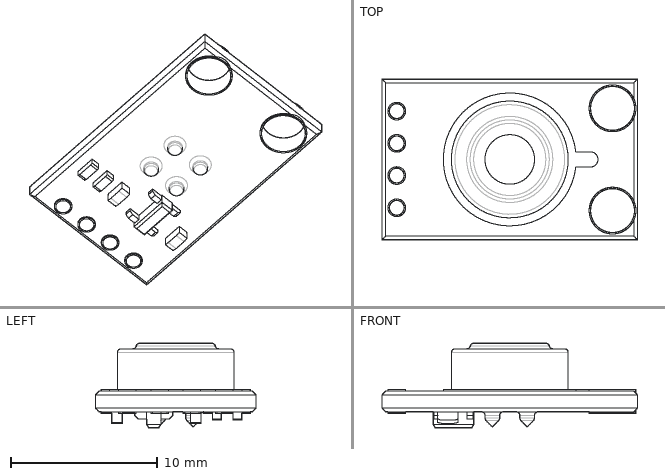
import cadquery as cq
import math

BOARD_LENGTH = 17.5
BOARD_WIDTH = 11.0
BOARD_THICKNESS = 1.44
BOARD_CHAMFER = 0.26

PLATING_PROUD = 0.1
MOUNT_HOLE_DIAMETER = 3.0
MOUNT_SLEEVE_DIAMETER = 3.2
MOUNT_X = 7.04
MOUNT_Y_SPACING = 7.0
HEADER_HOLE_DIAMETER = 1.0
HEADER_SLEEVE_DIAMETER = 1.2
HEADER_X = -7.74
HEADER_PITCH = 2.2
HEADER_COUNT = 4

LEAD_OFFSET = 1.19
JOINT_RADIUS = 0.5
JOINT_FILLET = 0.25
JOINT_BARREL_END = 0.42
JOINT_CONE_ANGLE = math.radians(45)

CHIP_X = -4.24
CHIP_LENGTH = 1.4
CHIP_END_DROP = 0.07
LARGE_CHIP_WIDTH = 0.74
LARGE_CHIP_HEIGHT = 0.79
LARGE_CHIP_SLOPE = 0.3
LARGE_CHIP_YS = (4.02, -1.36)
SMALL_CHIP_WIDTH = 0.61
SMALL_CHIP_HEIGHT = 0.55
SMALL_CHIP_SLOPE = 0.15
SMALL_CHIP_YS = (-2.82, -4.22)

REGULATOR_X = -3.85
REGULATOR_Y = 1.5
REGULATOR_LENGTH = 2.8
REGULATOR_WIDTH = 0.98
REGULATOR_HEIGHT = 1.08
REGULATOR_TAPER_HEIGHT = 0.23
REGULATOR_TAPER_INSET = 0.14
REGULATOR_LEAD_LENGTH = 2.62
REGULATOR_LEAD_WIDTH = 0.42
REGULATOR_LEAD_HEIGHT = 0.49
REGULATOR_LEAD_CHAMFER = 0.25
REGULATOR_LEAD_INSET = 0.07

FLANGE_DIAMETER = 9.1
FLANGE_THICKNESS = 0.1
TAB_WIDTH = 1.05
TAB_REACH = 6.04
CAN_DIAMETER = 8.0
CAN_HEIGHT = 2.89
COLLAR_HEIGHT = 0.38
COLLAR_BASE_DIAMETER = 5.9
CAN_FILLET = 0.25
WINDOW_DIAMETER = 3.4
WINDOW_DEPTH = 0.79


def plated_hole_places():
    """Centre, sleeve diameter and hole diameter of every plated hole."""
    mounts = [
        (MOUNT_X, side * MOUNT_Y_SPACING / 2, MOUNT_SLEEVE_DIAMETER, MOUNT_HOLE_DIAMETER)
        for side in (-1, 1)
    ]
    first_y = -HEADER_PITCH * (HEADER_COUNT - 1) / 2
    headers = [
        (HEADER_X, first_y + i * HEADER_PITCH, HEADER_SLEEVE_DIAMETER, HEADER_HOLE_DIAMETER)
        for i in range(HEADER_COUNT)
    ]
    return mounts + headers


def add_plated_hole(board, x, y, sleeve_diameter, hole_diameter):
    bottom = cq.Workplane("XY", origin=(x, y, -PLATING_PROUD))
    length = BOARD_THICKNESS + 2 * PLATING_PROUD
    sleeve = bottom.circle(sleeve_diameter / 2).extrude(length)
    hole = bottom.circle(hole_diameter / 2).extrude(length)
    return board.union(sleeve).cut(hole)


def make_solder_joint(x, y):
    """Round joint that flares into the board and ends in a rounded-off cone."""
    flare_radius = JOINT_RADIUS + JOINT_FILLET
    diagonal = JOINT_FILLET * math.sqrt(0.5)
    half_angle = JOINT_CONE_ANGLE / 2
    arc_center_radius = JOINT_RADIUS - JOINT_FILLET
    cone_radius = arc_center_radius + JOINT_FILLET * math.cos(JOINT_CONE_ANGLE)
    cone_top = JOINT_BARREL_END + JOINT_FILLET * math.sin(JOINT_CONE_ANGLE)
    tip = cone_top + cone_radius / math.tan(JOINT_CONE_ANGLE)
    return (
        cq.Workplane("XZ")
        .lineTo(flare_radius, 0)
        .threePointArc((flare_radius - diagonal, diagonal - JOINT_FILLET), (JOINT_RADIUS, -JOINT_FILLET))
        .lineTo(JOINT_RADIUS, -JOINT_BARREL_END)
        .threePointArc(
            (
                arc_center_radius + JOINT_FILLET * math.cos(half_angle),
                -JOINT_BARREL_END - JOINT_FILLET * math.sin(half_angle),
            ),
            (cone_radius, -cone_top),
        )
        .lineTo(0, -tip)
        .close()
        .revolve(360, (0, 0, 0), (0, 1, 0))
        .translate((x, y, 0))
    )


def make_chip(y, width, height, slope_length):
    """Block hanging from the board, its lower face sloping up at both ends."""
    half = CHIP_LENGTH / 2
    return (
        cq.Workplane("XZ", origin=(CHIP_X, y, 0))
        .moveTo(-half, 0)
        .lineTo(half, 0)
        .lineTo(half, CHIP_END_DROP - height)
        .lineTo(half - slope_length, -height)
        .lineTo(slope_length - half, -height)
        .lineTo(-half, CHIP_END_DROP - height)
        .close()
        .extrude(width / 2, both=True)
    )


def make_regulator():
    straight_height = REGULATOR_HEIGHT - REGULATOR_TAPER_HEIGHT
    taper_angle = math.degrees(math.atan2(REGULATOR_TAPER_INSET, REGULATOR_TAPER_HEIGHT))
    regulator = (
        cq.Workplane("XY")
        .rect(REGULATOR_LENGTH, REGULATOR_WIDTH)
        .extrude(-straight_height)
        .faces("<Z")
        .workplane()
        .rect(REGULATOR_LENGTH, REGULATOR_WIDTH)
        .extrude(REGULATOR_TAPER_HEIGHT, taper=taper_angle)
    )
    lead_x = (REGULATOR_LENGTH - REGULATOR_LEAD_WIDTH) / 2 - REGULATOR_LEAD_INSET
    for side in (-1, 1):
        lead = (
            cq.Workplane("XY")
            .center(side * lead_x, 0)
            .rect(REGULATOR_LEAD_WIDTH, REGULATOR_LEAD_LENGTH)
            .extrude(-REGULATOR_LEAD_HEIGHT)
            .faces("<Z")
            .edges("|X")
            .chamfer(REGULATOR_LEAD_CHAMFER)
        )
        regulator = regulator.union(lead)
    return regulator.translate((REGULATOR_X, REGULATOR_Y, 0))


def make_board():
    """Circuit board with its plated holes, solder joints and soldered parts."""
    board = (
        cq.Workplane("XY")
        .rect(BOARD_LENGTH, BOARD_WIDTH)
        .extrude(BOARD_THICKNESS)
        .faces("<Z or >Z")
        .edges()
        .chamfer(BOARD_CHAMFER)
    )
    for x, y, sleeve_diameter, hole_diameter in plated_hole_places():
        board = add_plated_hole(board, x, y, sleeve_diameter, hole_diameter)
    for x_side in (-1, 1):
        for y_side in (-1, 1):
            board = board.union(make_solder_joint(x_side * LEAD_OFFSET, y_side * LEAD_OFFSET))
    for y in LARGE_CHIP_YS:
        board = board.union(make_chip(y, LARGE_CHIP_WIDTH, LARGE_CHIP_HEIGHT, LARGE_CHIP_SLOPE))
    for y in SMALL_CHIP_YS:
        board = board.union(make_chip(y, SMALL_CHIP_WIDTH, SMALL_CHIP_HEIGHT, SMALL_CHIP_SLOPE))
    return board.union(make_regulator())


def make_can():
    """Round can; two tangent arcs blend its shoulder into the raised collar."""
    can_radius = CAN_DIAMETER / 2
    base_radius = COLLAR_BASE_DIAMETER / 2
    top = CAN_HEIGHT + COLLAR_HEIGHT
    turn = math.acos(1 - COLLAR_HEIGHT / 2 / CAN_FILLET)
    arc_run = CAN_FILLET * math.sin(turn)
    mid_run = CAN_FILLET * math.sin(turn / 2)
    mid_rise = CAN_FILLET * (1 - math.cos(turn / 2))
    top_radius = base_radius - 2 * arc_run
    corner_cut = CAN_FILLET * (1 - math.sqrt(0.5))
    window_radius = WINDOW_DIAMETER / 2
    return (
        cq.Workplane("XZ")
        .lineTo(can_radius, 0)
        .lineTo(can_radius, CAN_HEIGHT - CAN_FILLET)
        .threePointArc(
            (can_radius - corner_cut, CAN_HEIGHT - corner_cut),
            (can_radius - CAN_FILLET, CAN_HEIGHT),
        )
        .lineTo(base_radius, CAN_HEIGHT)
        .threePointArc(
            (base_radius - mid_run, CAN_HEIGHT + mid_rise),
            (base_radius - arc_run, CAN_HEIGHT + COLLAR_HEIGHT / 2),
        )
        .threePointArc((top_radius + mid_run, top - mid_rise), (top_radius, top))
        .lineTo(window_radius, top)
        .lineTo(window_radius, top - WINDOW_DEPTH)
        .lineTo(0, top - WINDOW_DEPTH)
        .close()
        .revolve(360, (0, 0, 0), (0, 1, 0))
    )


def make_sensor():
    """Can on a thin flange that has one round-ended locating tab."""
    flange = cq.Workplane("XY").circle(FLANGE_DIAMETER / 2).extrude(FLANGE_THICKNESS)
    tab_straight = TAB_REACH - TAB_WIDTH / 2
    tab = (
        cq.Workplane("XY")
        .moveTo(0, -TAB_WIDTH / 2)
        .lineTo(tab_straight, -TAB_WIDTH / 2)
        .threePointArc((TAB_REACH, 0), (tab_straight, TAB_WIDTH / 2))
        .lineTo(0, TAB_WIDTH / 2)
        .close()
        .extrude(FLANGE_THICKNESS)
    )
    return make_can().union(flange).union(tab).translate((0, 0, BOARD_THICKNESS))


board = make_board()
sensor = make_sensor()

result = cq.Compound.makeCompound([board.val(), sensor.val()])